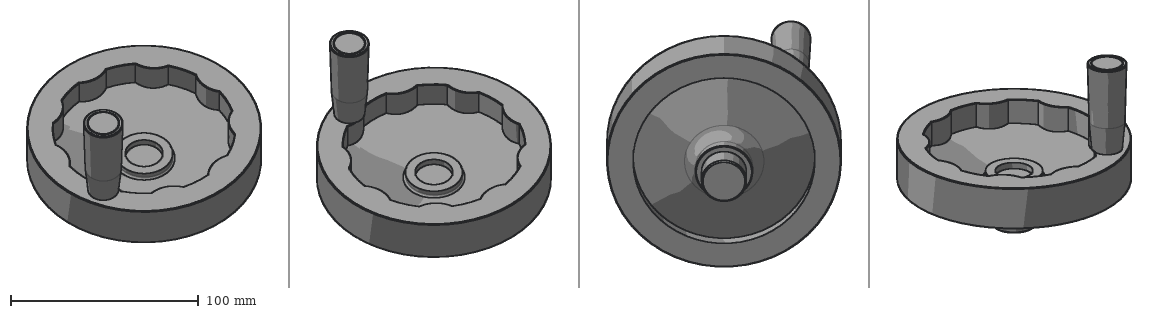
import math

import cadquery as cq


WHEEL_RADIUS = 62.5
RIM_HEIGHT = 24.0
RIM_EDGE_CHAMFER = 0.5

HUB_RADIUS = 15.25
HUB_TOP = 5.0
HUB_BOTTOM = -14.5
HUB_EDGE_CHAMFER = 0.5
HUB_BORE_RADIUS = 10.0
HUB_BORE_DEPTH = 3.6
BUSH_RADIUS = 12.0
BUSH_LENGTH = 12.0
BUSH_EDGE_CHAMFER = 0.8

WEB_ANGLE = math.radians(15)
WEB_SLOPE = math.tan(WEB_ANGLE)
WEB_TOP_INNER_RADIUS = 16.45
WEB_TOP_INNER_Z = 1.3
WEB_FILLET_RADIUS = 8.0
WEB_FILLET_START_Z = -8.4

POCKET_RADIUS = 48.5
POCKET_EDGE_CHAMFER = 0.4
SCALLOP_COUNT = 9
SCALLOP_HALF_ANGLE = math.radians(10.5)
SCALLOP_CREST_RADIUS = 45.1
FIRST_SCALLOP_ANGLE = math.radians(-90)

HANDLE_OFFSET = 51.5
NECK_RADIUS = 5.35
NECK_HEIGHT = 0.8
GRIP_BOTTOM_RADIUS = 8.2
GRIP_WAIST_RADIUS = 9.65
GRIP_TOP_RADIUS = 10.5
GRIP_WAIST_HEIGHT = 17.0
GRIP_TOP_HEIGHT = 51.0
GRIP_EDGE_CHAMFER = 0.5
CAP_GROOVE_RADIUS = 8.35
CAP_GROOVE_HALF_WIDTH = 0.25
CAP_GROOVE_DEPTH = 0.3


def polar(radius, angle):
    return (radius * math.cos(angle), radius * math.sin(angle))


def revolve_about_z(profile):
    """Turn a closed (radius, z) profile drawn on the XZ plane around Z."""
    return profile.close().revolve(360, (0, 0, 0), (0, 1, 0))


def make_wheel_blank():
    """Hub, web underside and rim as one turned body, still without the pocket."""
    center_r = HUB_RADIUS + WEB_FILLET_RADIUS
    fillet_end_angle = math.pi / 2 + WEB_ANGLE
    fillet_mid_angle = (math.pi + fillet_end_angle) / 2

    def fillet_point(angle):
        r, z = polar(WEB_FILLET_RADIUS, angle)
        return (center_r + r, WEB_FILLET_START_Z + z)

    fillet_end = fillet_point(fillet_end_angle)
    web_outer_z = fillet_end[1] + (POCKET_RADIUS - fillet_end[0]) * WEB_SLOPE

    profile = (
        cq.Workplane("XZ")
        .moveTo(0, HUB_BOTTOM)
        .lineTo(HUB_RADIUS - HUB_EDGE_CHAMFER, HUB_BOTTOM)
        .lineTo(HUB_RADIUS, HUB_BOTTOM + HUB_EDGE_CHAMFER)
        .lineTo(HUB_RADIUS, WEB_FILLET_START_Z)
        .threePointArc(fillet_point(fillet_mid_angle), fillet_end)
        .lineTo(POCKET_RADIUS, web_outer_z)
        .lineTo(POCKET_RADIUS, 0)
        .lineTo(WHEEL_RADIUS - RIM_EDGE_CHAMFER, 0)
        .lineTo(WHEEL_RADIUS, RIM_EDGE_CHAMFER)
        .lineTo(WHEEL_RADIUS, RIM_HEIGHT - RIM_EDGE_CHAMFER)
        .lineTo(WHEEL_RADIUS - RIM_EDGE_CHAMFER, RIM_HEIGHT)
        .lineTo(0, RIM_HEIGHT)
    )
    return revolve_about_z(profile)


def scalloped_outline(base_z):
    """Closed round outline at height base_z that bulges inward at every scallop."""
    pitch = 2 * math.pi / SCALLOP_COUNT
    start = FIRST_SCALLOP_ANGLE - SCALLOP_HALF_ANGLE
    outline = cq.Workplane("XY", origin=(0, 0, base_z)).moveTo(*polar(POCKET_RADIUS, start))
    for index in range(SCALLOP_COUNT):
        crest = FIRST_SCALLOP_ANGLE + index * pitch
        outline = outline.threePointArc(
            polar(SCALLOP_CREST_RADIUS, crest),
            polar(POCKET_RADIUS, crest + SCALLOP_HALF_ANGLE),
        ).threePointArc(
            polar(POCKET_RADIUS, crest + pitch / 2),
            polar(POCKET_RADIUS, crest + pitch - SCALLOP_HALF_ANGLE),
        )
    return outline.close()


def make_dish():
    """Space above the web cone and the hub, with a cove at the foot of the hub."""
    cove_width = WEB_TOP_INNER_RADIUS - HUB_RADIUS
    outer_z = WEB_TOP_INNER_Z + (WHEEL_RADIUS - WEB_TOP_INNER_RADIUS) * WEB_SLOPE
    profile = (
        cq.Workplane("XZ")
        .moveTo(0, HUB_TOP)
        .lineTo(HUB_RADIUS, HUB_TOP)
        .lineTo(HUB_RADIUS, WEB_TOP_INNER_Z + cove_width)
        .tangentArcPoint((WEB_TOP_INNER_RADIUS, WEB_TOP_INNER_Z), relative=False)
        .lineTo(WHEEL_RADIUS, outer_z)
        .lineTo(WHEEL_RADIUS, RIM_HEIGHT)
        .lineTo(0, RIM_HEIGHT)
    )
    return revolve_about_z(profile)


def make_hub_bore():
    return cq.Workplane("XY", origin=(0, 0, HUB_TOP)).circle(HUB_BORE_RADIUS).extrude(-HUB_BORE_DEPTH)


def make_bush():
    bush = cq.Workplane("XY", origin=(0, 0, HUB_BOTTOM)).circle(BUSH_RADIUS).extrude(-BUSH_LENGTH)
    return bush.faces("<Z").chamfer(BUSH_EDGE_CHAMFER)


def make_handle():
    """Two-stage tapered grip on a short neck, with a V-groove around its end cap."""
    profile = (
        cq.Workplane("XZ")
        .lineTo(NECK_RADIUS, 0)
        .lineTo(NECK_RADIUS, NECK_HEIGHT)
        .lineTo(GRIP_BOTTOM_RADIUS, NECK_HEIGHT)
        .lineTo(GRIP_WAIST_RADIUS, GRIP_WAIST_HEIGHT)
        .lineTo(GRIP_TOP_RADIUS, GRIP_TOP_HEIGHT - GRIP_EDGE_CHAMFER)
        .lineTo(GRIP_TOP_RADIUS - GRIP_EDGE_CHAMFER, GRIP_TOP_HEIGHT)
        .lineTo(CAP_GROOVE_RADIUS + CAP_GROOVE_HALF_WIDTH, GRIP_TOP_HEIGHT)
        .lineTo(CAP_GROOVE_RADIUS, GRIP_TOP_HEIGHT - CAP_GROOVE_DEPTH)
        .lineTo(CAP_GROOVE_RADIUS - CAP_GROOVE_HALF_WIDTH, GRIP_TOP_HEIGHT)
        .lineTo(0, GRIP_TOP_HEIGHT)
    )
    return revolve_about_z(profile).translate((0, -HANDLE_OFFSET, RIM_HEIGHT))


def make_pocket():
    """Scalloped pocket down to the dish, flaring outward at its rim edge."""
    pocket = scalloped_outline(0).extrude(RIM_HEIGHT).intersect(make_dish())
    flare = scalloped_outline(RIM_HEIGHT - POCKET_EDGE_CHAMFER).extrude(POCKET_EDGE_CHAMFER, taper=-45)
    return pocket.union(flare)


wheel = make_wheel_blank().cut(make_pocket()).cut(make_hub_bore())
result = wheel.union(make_bush()).union(make_handle())